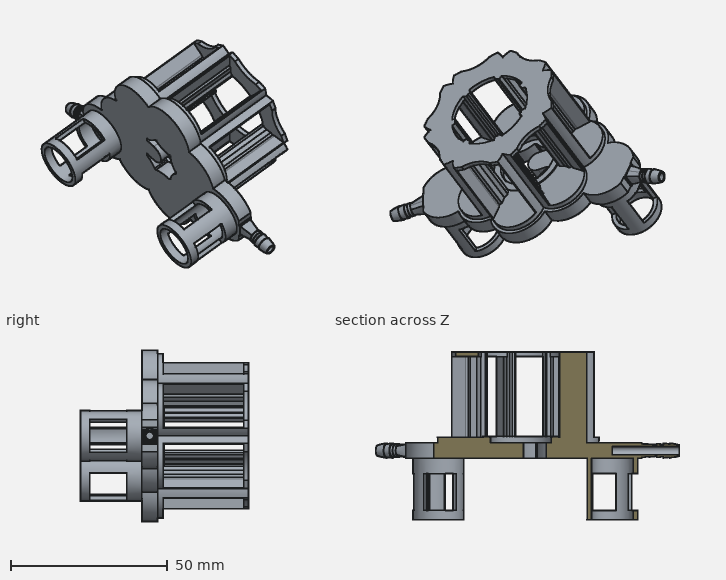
import cadquery as cq
import math

LOBE_COUNT = 7
LOBE_STEP = 360 / LOBE_COUNT
LOBE_DISTANCE = 17.4
PLATE_LOBE_RADIUS = 10.5
FLANGE_LOBE_RADIUS = 9.3
PLATE_THICKNESS = 5.0
FLANGE_THICKNESS = 1.7
PAD_RADIUS = 12.1
PAD_HEIGHT = 0.3

OPENING_RADIUS = 8.1
TONGUE_WIDTH = 7.3
TONGUE_CENTER_X = -2.7
TONGUE_ROOT_WIDTH = 8.7
TONGUE_ROOT_END_X = -6.0
RECESS_RADIUS = 9.7

CAGE_LENGTH = 27.3
RING_THICKNESS = 1.6
RING_INNER_RADIUS = 13.5
CAGE_APOTHEM = 22.1
SCOOP_WIDTH = 10.2
SCOOP_DEPTH = 1.3
POST_OVERLENGTH = 25.2
POST_HALF_PROFILE = [
    (12.4, 0),
    (12.2, 0.8),
    (13.5, 1.5),
    (15.0, 1.2),
    (17.2, 1.7),
    (18.0, 1.3),
    (18.8, 1.7),
    (POST_OVERLENGTH, 3.1),
]

SOCKET_DISTANCE = 29.2
SOCKET_ANGLES = (0, 180 + LOBE_STEP / 2)
SOCKET_OUTER_RADIUS = 16.3 / 2
SOCKET_INNER_RADIUS = 13.3 / 2
SOCKET_LENGTH = 19.6
WINDOW_START = 4.9
WINDOW_LENGTH = 11.7
WINDOW_COUNT = 3
WINDOW_SPAN = 80
PAD_FLAT_DISTANCE = 9.1

NECK_FOOT_WIDTH = 5.4
NECK_FOOT_THICKNESS = 0.3
NECK_BASE_SIZE = 4.5
NECK_END_DIAMETER = 3.9
COLLAR_START = 14.2
COLLAR_END = 15.2
COLLAR_DIAMETER = 4.4
STEM_DIAMETER = 4.0
BARB_STARTS = (16.3, 18.3)
BARB_DIAMETER = 4.8
BARB_END_DIAMETER = 4.3
TIP_BULGE = 0.1
TIP_DIAMETER = 3.5
TIP_END = 21.4
BORE_DIAMETER = 2.5


def polar(radius, angle):
    a = math.radians(angle)
    return (radius * math.cos(a), radius * math.sin(a))


def at_height(y):
    """Sketch plane at height y, with X right, Z up and extrusion toward -Y."""
    return cq.Workplane("XZ", origin=(0, y, 0))


def turned(body, angle):
    """Turn a body about the hub axis, counted from +X toward +Z."""
    return body.rotate((0, 0, 0), (0, 1, 0), -angle)


def lobe_angles():
    return [(i + 0.5) * LOBE_STEP for i in range(LOBE_COUNT)]


def lobe_discs(radius, y_start, y_end, closed=True):
    """Seven overlapping discs, with the space between them at the hub closed or left open."""
    thickness = y_end - y_start
    centers = [polar(LOBE_DISTANCE, angle) for angle in lobe_angles()]
    body = at_height(y_end).circle(LOBE_DISTANCE).extrude(thickness) if closed else cq.Workplane()
    for center in centers:
        body = body.union(at_height(y_end).center(*center).circle(radius).extrude(thickness))
    return body


def hub_opening():
    """Cutter for the opening through the plate and the round recess behind it."""
    star = at_height(PLATE_THICKNESS).circle(OPENING_RADIUS).extrude(PLATE_THICKNESS)
    star = star.cut(lobe_discs(PLATE_LOBE_RADIUS, 0, PLATE_THICKNESS, closed=False))
    tongue = (
        at_height(PLATE_THICKNESS).center(TONGUE_CENTER_X, 0)
        .circle(TONGUE_WIDTH / 2).extrude(PLATE_THICKNESS)
    )
    for end_x, width in ((TONGUE_CENTER_X, TONGUE_WIDTH), (TONGUE_ROOT_END_X, TONGUE_ROOT_WIDTH)):
        bar = (
            at_height(PLATE_THICKNESS).center(end_x - OPENING_RADIUS / 2, 0)
            .rect(OPENING_RADIUS, width).extrude(PLATE_THICKNESS)
        )
        tongue = tongue.union(bar)
    recess_depth = FLANGE_THICKNESS + PAD_HEIGHT
    recess = at_height(PLATE_THICKNESS + recess_depth).circle(RECESS_RADIUS).extrude(recess_depth)
    return star.cut(tongue).union(recess)


def base_plate():
    flange_top = PLATE_THICKNESS + FLANGE_THICKNESS
    body = lobe_discs(PLATE_LOBE_RADIUS, 0, PLATE_THICKNESS)
    body = body.union(lobe_discs(FLANGE_LOBE_RADIUS, PLATE_THICKNESS, flange_top))
    pad = at_height(flange_top + PAD_HEIGHT).circle(PAD_RADIUS).extrude(PAD_HEIGHT)
    return body.union(pad)


def cage():
    start = PLATE_THICKNESS + FLANGE_THICKNESS
    end = start + CAGE_LENGTH

    mirrored = [(r, -w) for r, w in reversed(POST_HALF_PROFILE[1:])]
    post = at_height(end).polyline(POST_HALF_PROFILE + mirrored).close().extrude(CAGE_LENGTH)
    posts = post
    for i in range(1, LOBE_COUNT):
        posts = posts.union(turned(post, i * LOBE_STEP))

    ring = at_height(end).circle(POST_OVERLENGTH).circle(RING_INNER_RADIUS).extrude(RING_THICKNESS)
    scoop_radius = ((SCOOP_WIDTH / 2) ** 2 + SCOOP_DEPTH ** 2) / (2 * SCOOP_DEPTH)
    for angle in lobe_angles():
        center = polar(CAGE_APOTHEM - SCOOP_DEPTH + scoop_radius, angle)
        ring = ring.cut(at_height(end).center(*center).circle(scoop_radius).extrude(RING_THICKNESS))

    heptagon_diameter = 2 * CAGE_APOTHEM / math.cos(math.pi / LOBE_COUNT)
    heptagon = at_height(end).polygon(LOBE_COUNT, heptagon_diameter).extrude(CAGE_LENGTH)
    envelope = lobe_discs(FLANGE_LOBE_RADIUS, start, end).intersect(heptagon)
    return posts.union(ring).intersect(envelope)


def socket_pad():
    """Round plate pad on the +X side, with a flat on its outer edge."""
    pad = (
        at_height(PLATE_THICKNESS).center(SOCKET_DISTANCE, 0)
        .circle(PLATE_LOBE_RADIUS).extrude(PLATE_THICKNESS)
    )
    keep = (
        at_height(PLATE_THICKNESS).center(SOCKET_DISTANCE + PAD_FLAT_DISTANCE - PLATE_LOBE_RADIUS, 0)
        .rect(2 * PLATE_LOBE_RADIUS, 2 * PLATE_LOBE_RADIUS).extrude(PLATE_THICKNESS)
    )
    return pad.intersect(keep)


def socket():
    """Tube on the +X side, closed by the plate, with three windows through its wall."""
    axis = (SOCKET_DISTANCE, 0)
    tube = at_height(0).center(*axis).circle(SOCKET_OUTER_RADIUS).extrude(SOCKET_LENGTH)
    tube = tube.cut(at_height(0).center(*axis).circle(SOCKET_INNER_RADIUS).extrude(SOCKET_LENGTH))
    reach = 2 * SOCKET_OUTER_RADIUS
    for i in range(WINDOW_COUNT):
        middle = i * 360 / WINDOW_COUNT
        window = (
            at_height(-WINDOW_START).center(*axis)
            .polyline([
                (0, 0),
                polar(reach, middle - WINDOW_SPAN / 2),
                polar(reach, middle + WINDOW_SPAN / 2),
            ])
            .close().extrude(WINDOW_LENGTH)
        )
        tube = tube.cut(window)
    return tube


def nozzle_plane(distance):
    """Plane across the nozzle axis at a distance from the socket axis."""
    return cq.Workplane("YZ", origin=(SOCKET_DISTANCE + distance, PLATE_THICKNESS / 2, 0))


def nozzle():
    """Hose nozzle along +X: foot, square-to-round neck, collar, stem and two barbs."""
    foot = nozzle_plane(PAD_FLAT_DISTANCE).rect(PLATE_THICKNESS, NECK_FOOT_WIDTH)
    foot = foot.extrude(NECK_FOOT_THICKNESS)
    neck = (
        nozzle_plane(PAD_FLAT_DISTANCE).rect(NECK_BASE_SIZE, NECK_BASE_SIZE)
        .workplane(offset=COLLAR_START - PAD_FLAT_DISTANCE).circle(NECK_END_DIAMETER / 2)
        .loft(combine=True)
    )
    first_barb, second_barb = BARB_STARTS
    tip_middle = (
        (second_barb + TIP_END) / 2,
        (BARB_DIAMETER + TIP_DIAMETER) / 4 + TIP_BULGE,
    )
    barbs = (
        cq.Workplane("XY", origin=(SOCKET_DISTANCE, PLATE_THICKNESS / 2, 0))
        .moveTo(COLLAR_START, 0)
        .lineTo(COLLAR_START, COLLAR_DIAMETER / 2)
        .lineTo(COLLAR_END, COLLAR_DIAMETER / 2)
        .lineTo(COLLAR_END, STEM_DIAMETER / 2)
        .lineTo(first_barb, STEM_DIAMETER / 2)
        .lineTo(first_barb, BARB_DIAMETER / 2)
        .lineTo(second_barb, BARB_END_DIAMETER / 2)
        .lineTo(second_barb, BARB_DIAMETER / 2)
        .threePointArc(tip_middle, (TIP_END, TIP_DIAMETER / 2))
        .lineTo(TIP_END, 0)
        .close()
        .revolve(360, (0, 0, 0), (1, 0, 0))
    )
    return foot.union(neck).union(barbs)


def nozzle_bore():
    """Blind bore from the nozzle tip to the socket axis."""
    return nozzle_plane(0).circle(BORE_DIAMETER / 2).extrude(TIP_END)


result = base_plate().union(cage())
for socket_angle in SOCKET_ANGLES:
    for make_feature in (socket_pad, socket, nozzle):
        result = result.union(turned(make_feature(), socket_angle))
    result = result.cut(turned(nozzle_bore(), socket_angle))
result = result.cut(hub_opening())